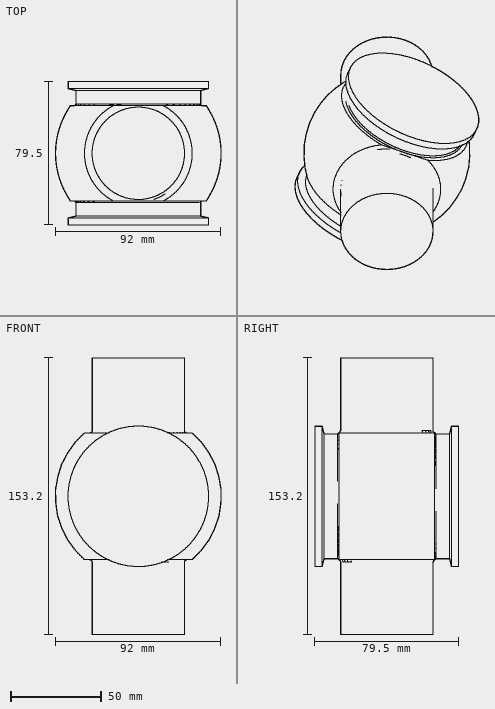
import cadquery as cq

body_radius = 46.02
flat_half_height = 35.0
flat_half_depth = 26.42

tube_radius = 25.6
tube_half_length = 76.6
tube_root_fillet = 1.4

neck_radius = 34.6
neck_root_fillet = 0.8
flange_radius = 38.9
flange_half_span = 39.75
flange_rim_width = 4.0
flange_cone_width = 1.0


def revolve_half_profile(profile):
    """Revolve a (radius, height) profile about the Z axis."""
    return profile.close().revolve(360, (0, 0, 0), (0, 1, 0))


def make_body():
    flats = cq.Workplane("XY").box(
        2 * body_radius, 2 * flat_half_depth, 2 * flat_half_height
    )
    return cq.Workplane("XY").sphere(body_radius).intersect(flats)


def make_tube():
    """Upper tube with a concave root flare, trimmed to the depth of the body."""
    fillet_end = flat_half_height + tube_root_fillet
    profile = (
        cq.Workplane("XZ")
        .lineTo(tube_radius + tube_root_fillet, 0)
        .lineTo(tube_radius + tube_root_fillet, flat_half_height)
        .radiusArc((tube_radius, fillet_end), tube_root_fillet)
        .lineTo(tube_radius, tube_half_length)
        .lineTo(0, tube_half_length)
    )
    depth_limit = cq.Workplane("XY").box(
        2 * body_radius, 2 * flat_half_depth, 2 * tube_half_length
    )
    return revolve_half_profile(profile).intersect(depth_limit)


def make_flanged_neck():
    """Neck with root flare and a flange with a conical back, built along +Z."""
    fillet_end = flat_half_depth + neck_root_fillet
    rim_start = flange_half_span - flange_rim_width
    cone_start = rim_start - flange_cone_width
    profile = (
        cq.Workplane("XZ")
        .moveTo(0, flat_half_depth)
        .lineTo(neck_radius + neck_root_fillet, flat_half_depth)
        .radiusArc((neck_radius, fillet_end), neck_root_fillet)
        .lineTo(neck_radius, cone_start)
        .lineTo(flange_radius, rim_start)
        .lineTo(flange_radius, flange_half_span)
        .lineTo(0, flange_half_span)
    )
    return revolve_half_profile(profile)


tube = make_tube()
neck = make_flanged_neck()

result = make_body()
for turn in (0, 180):
    result = result.union(tube.rotate((0, 0, 0), (1, 0, 0), turn))
for turn in (90, -90):
    result = result.union(neck.rotate((0, 0, 0), (1, 0, 0), turn))